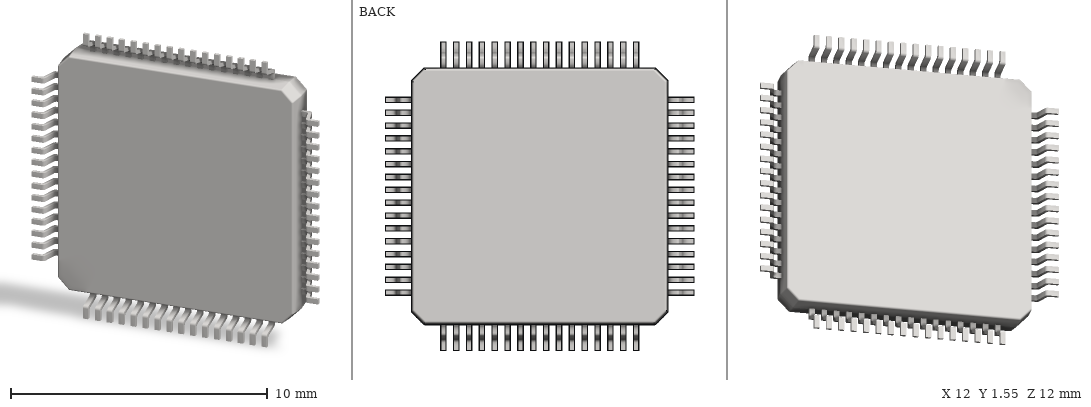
import cadquery as cq
import math


SPAN = 12.02
HEIGHT = 1.55

STANDOFF = 0.05
BODY_SIDE = 10.0
CORNER_CUT = 0.5
DRAFT_ANGLE = 5.0
EDGE_RADIUS = 0.07
HALF_THICKNESS = (HEIGHT - STANDOFF) / 2
PARTING_Y = STANDOFF + HALF_THICKNESS

LEADS_PER_SIDE = 16
SIDES = 4
LEAD_ROW = 7.5
LEAD_PITCH = LEAD_ROW / (LEADS_PER_SIDE - 1)
LEAD_WIDTH = 0.22
LEAD_THICKNESS = 0.15
FOOT_LENGTH = 0.52
RISER_RUN = 0.19
BEND_RADIUS = 0.11
LEAD_EMBED = 0.24


def make_body_half(direction):
    """One drafted half of the body, growing from the parting plane along Y (direction +1 or -1)."""
    plane = cq.Plane(origin=(0, PARTING_Y, 0), xDir=(1, 0, 0), normal=(0, direction, 0))
    half_side = BODY_SIDE / 2
    flat_end = half_side - CORNER_CUT
    outline = [
        (half_side, -flat_end),
        (half_side, flat_end),
        (flat_end, half_side),
        (-flat_end, half_side),
        (-half_side, flat_end),
        (-half_side, -flat_end),
        (-flat_end, -half_side),
        (flat_end, -half_side),
    ]
    half = cq.Workplane(plane).polyline(outline).close().extrude(HALF_THICKNESS, taper=DRAFT_ANGLE)
    parting_face = "<Y" if direction > 0 else ">Y"
    return half.edges(f"not {parting_face}").fillet(EDGE_RADIUS)


def make_lead():
    """Gull-wing lead at the middle of the -X side, centred on the parting plane where it enters."""
    arm_bottom = PARTING_Y - LEAD_THICKNESS / 2
    tip_x = -SPAN / 2
    lower_bend_x = tip_x + FOOT_LENGTH
    upper_bend_x = lower_bend_x + RISER_RUN
    root_x = -BODY_SIDE / 2 + LEAD_EMBED

    bend_turn = math.atan2(arm_bottom, RISER_RUN)
    bend_shift = LEAD_THICKNESS * math.tan(bend_turn / 2)

    profile = [
        (tip_x, 0),
        (lower_bend_x, 0),
        (upper_bend_x, arm_bottom),
        (root_x, arm_bottom),
        (root_x, arm_bottom + LEAD_THICKNESS),
        (upper_bend_x - bend_shift, arm_bottom + LEAD_THICKNESS),
        (lower_bend_x - bend_shift, LEAD_THICKNESS),
        (tip_x, LEAD_THICKNESS),
    ]
    blank = cq.Workplane("XY").polyline(profile).close().extrude(LEAD_WIDTH / 2, both=True)
    bends = cq.selectors.BoxSelector(
        (lower_bend_x - 2 * bend_shift, -LEAD_THICKNESS, -LEAD_WIDTH),
        (upper_bend_x + bend_shift, HEIGHT, LEAD_WIDTH),
    )
    return blank.edges("|Z").edges(bends).fillet(BEND_RADIUS)


def make_leads():
    """All leads: one row on the -X side, turned about Y onto each of the four sides."""
    lead = make_lead().val()
    row = [lead.translate((0, 0, i * LEAD_PITCH - LEAD_ROW / 2)) for i in range(LEADS_PER_SIDE)]
    return [
        one.rotate((0, 0, 0), (0, 1, 0), side * 360 / SIDES)
        for side in range(SIDES)
        for one in row
    ]


body = make_body_half(1).union(make_body_half(-1))
result = cq.Workplane("XY").newObject([body.val().fuse(*make_leads())])